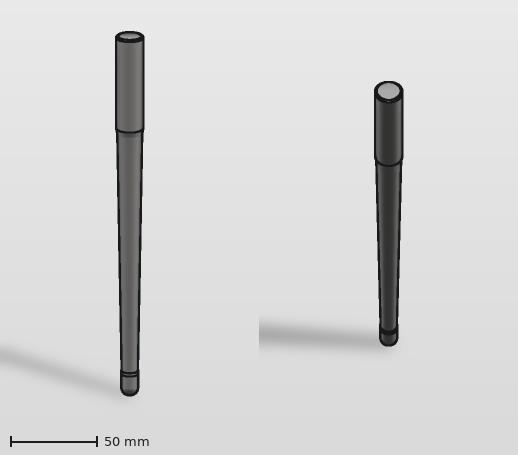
import cadquery as cq
import math


ball_diameter = 10.0
cutting_length = 13.0

total_length = 220.0
shank_diameter = 16.0
collar_end = 15.0
neck_relief = 0.15
taper_start = 17.0
taper_end = 160.0
taper_angle = 1.0
flare_end = 162.6
flare_top_radius = 7.7
shank_start = 163.5
end_chamfer = 1.0

shank_radius = shank_diameter / 2
ball_radius = ball_diameter / 2
neck_radius = ball_radius - neck_relief
taper_top_radius = neck_radius + (taper_end - taper_start) * math.tan(math.radians(taper_angle))


def turn(half_profile):
    """Revolve a (radius, height) half profile about the Z axis."""
    return half_profile.close().revolve(360, (0, 0, 0), (0, 1, 0))


def make_cutting_head():
    """Straight cylinder ending in a hemispherical tip."""
    arc_mid_radius = ball_radius * math.sin(math.pi / 4)
    profile = (
        cq.Workplane("XZ")
        .threePointArc((arc_mid_radius, ball_radius - arc_mid_radius), (ball_radius, ball_radius))
        .lineTo(ball_radius, cutting_length)
        .lineTo(0, cutting_length)
    )
    return turn(profile)


def make_shank():
    """Collar, relieved neck, tapered stem, flare and cylindrical clamping shank."""
    profile = (
        cq.Workplane("XZ")
        .moveTo(0, cutting_length)
        .lineTo(ball_radius, cutting_length)
        .lineTo(ball_radius, collar_end)
        .lineTo(neck_radius, collar_end)
        .lineTo(neck_radius, taper_start)
        .lineTo(taper_top_radius, taper_end)
        .lineTo(flare_top_radius, flare_end)
        .lineTo(shank_radius, shank_start)
        .lineTo(shank_radius, total_length - end_chamfer)
        .lineTo(shank_radius - end_chamfer, total_length)
        .lineTo(0, total_length)
    )
    return turn(profile)


cutting_head = make_cutting_head()
shank = make_shank()

result = cq.Compound.makeCompound([cutting_head.val(), shank.val()])